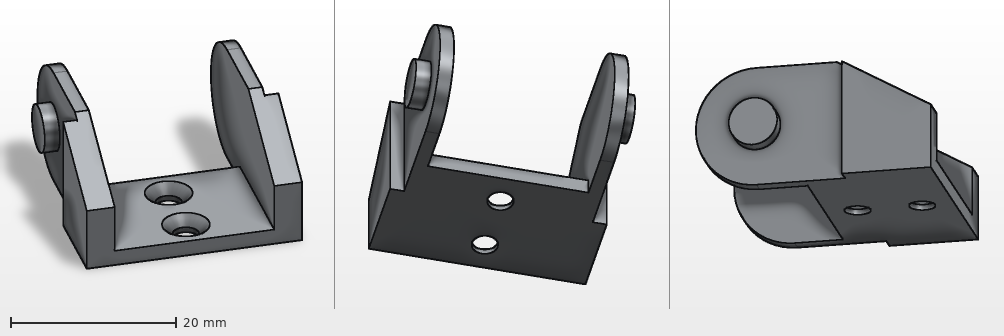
import cadquery as cq
import math

height = 15.0
nose_radius = height / 2
pin_to_back = 22.0
inner_width = 20.0
plate_thickness = 1.75
slope_start_x = 10.0
slope_angle = 30.0

pad_length = 11.0
pad_thickness = 1.75

pin_diameter = 6.0
overall_width = 27.3

base_length = 16.0
base_thickness = 2.0

hole_diameter = 3.2
countersink_diameter = 5.8
countersink_angle = 90.0
first_hole_x = 10.0
hole_pitch = 8.0

bottom_z = -height / 2
top_z = height / 2
base_front_x = pin_to_back - base_length
base_top_z = bottom_z + base_thickness
pad_front_x = pin_to_back - pad_length
back_top_z = top_z - (pin_to_back - slope_start_x) * math.tan(math.radians(slope_angle))
inner_y = inner_width / 2
outer_y = inner_y + plate_thickness
pad_outer_y = outer_y + pad_thickness
pin_end_y = overall_width / 2


def box_between(x_range, y_range, z_range):
    """Box spanning the given (low, high) ranges."""
    sizes = [high - low for low, high in (x_range, y_range, z_range)]
    corner = (x_range[0], y_range[0], z_range[0])
    return cq.Workplane("XY").box(*sizes, centered=False).translate(corner)


def side_profile(y_start, y_end):
    """Side outline extruded from y_start to y_end."""
    return (
        cq.Workplane("XZ", origin=(0, y_end, 0))
        .moveTo(0, bottom_z)
        .lineTo(pin_to_back, bottom_z)
        .lineTo(pin_to_back, back_top_z)
        .lineTo(slope_start_x, top_z)
        .lineTo(0, top_z)
        .threePointArc((-nose_radius, 0), (0, bottom_z))
        .close()
        .extrude(y_end - y_start)
    )


def make_side():
    """Side plate on +Y with its rear pad and pivot pin."""
    plate = side_profile(inner_y, outer_y)
    pad = side_profile(inner_y, pad_outer_y).intersect(
        box_between((pad_front_x, pin_to_back), (inner_y, pad_outer_y), (bottom_z, top_z))
    )
    pin = (
        cq.Workplane("XZ", origin=(0, pin_end_y, 0))
        .circle(pin_diameter / 2)
        .extrude(pin_end_y - inner_y)
    )
    return plate.union(pad).union(pin)


def make_base():
    """Base plate with its row of countersunk holes."""
    base = box_between((base_front_x, pin_to_back), (-inner_y, inner_y), (bottom_z, base_top_z))
    hole_centers = [(first_hole_x, 0), (first_hole_x + hole_pitch, 0)]
    return (
        base.faces(">Z")
        .workplane(origin=(0, 0, base_top_z))
        .pushPoints(hole_centers)
        .cskHole(hole_diameter, countersink_diameter, countersink_angle)
    )


side = make_side()
result = make_base().union(side).union(side.mirror("XZ"))